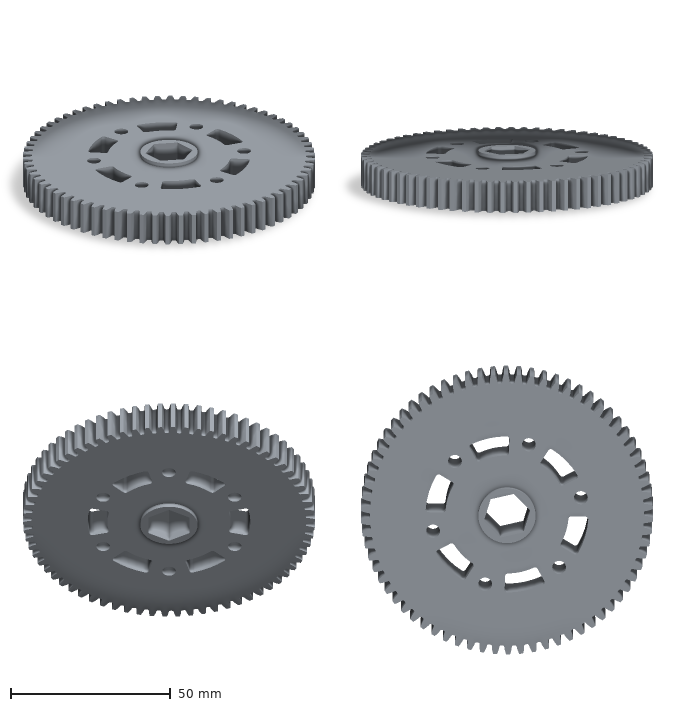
import cadquery as cq
import math

tooth_count = 70
outer_diameter = 91.4
face_width = 9.8
pressure_angle = math.radians(14.5)
root_fillet = 0.5
flank_steps = 4
first_tooth_angle = math.pi / 2

module = outer_diameter / (tooth_count + 2)
pitch_radius = module * tooth_count / 2
outer_radius = outer_diameter / 2
dedendum_factor = 1.25
root_radius = pitch_radius - dedendum_factor * module
base_radius = pitch_radius * math.cos(pressure_angle)
tooth_spacing = 2 * math.pi / tooth_count

hub_diameter = 17.9
hub_length = 12.6
bore_across_flats = 12.9

pattern_count = 6
bolt_circle_radius = 23.8
bolt_hole_diameter = 4.3
first_bolt_angle = 90
window_inner_radius = 19.3
window_outer_radius = 25.5
window_half_angle = math.radians(15)
window_corner_radius = 0.9


def polar(radius, angle):
    return (radius * math.cos(angle), radius * math.sin(angle))


def turned(point, angle):
    """Turn a point about the gear axis."""
    x, y = point
    return polar(math.hypot(x, y), angle + math.atan2(y, x))


def involute_angle(radius):
    """Angle unrolled by the involute between the base circle and a radius."""
    pressure = math.acos(base_radius / radius)
    return math.tan(pressure) - pressure


def tooth_half_angle(radius):
    """Half of the angle that one tooth fills at a radius on its involute flank."""
    at_pitch = math.pi / (2 * tooth_count)
    return at_pitch + involute_angle(pitch_radius) - involute_angle(radius)


def midpoint_on_arc(start, end, centre, radius):
    """Point of a minor arc halfway between its ends."""
    along_x = (start[0] + end[0]) / 2 - centre[0]
    along_y = (start[1] + end[1]) / 2 - centre[1]
    reach = radius / math.hypot(along_x, along_y)
    return (centre[0] + along_x * reach, centre[1] + along_y * reach)


def tooth_gap_points():
    """Points of the gap that follows a tooth on the X axis, from tip to tip."""
    centre_radius = root_radius + root_fillet
    centre_angle = tooth_half_angle(centre_radius) + root_fillet / base_radius
    fillet_centre = polar(centre_radius, centre_angle)

    centre_tangent = math.sqrt(centre_radius**2 - base_radius**2)
    flank_end_radius = math.hypot(base_radius, centre_tangent - root_fillet)

    half_gap = []
    for step in range(flank_steps + 1):
        radius = outer_radius + (flank_end_radius - outer_radius) * step / flank_steps
        half_gap.append(polar(radius, tooth_half_angle(radius)))

    flank_end = half_gap[-1]
    root_end = polar(root_radius, centre_angle)
    half_gap.append(midpoint_on_arc(flank_end, root_end, fillet_centre, root_fillet))
    half_gap.append(root_end)

    mirrored_half = [turned((x, -y), tooth_spacing) for x, y in reversed(half_gap)]
    return half_gap + mirrored_half


def make_gear_blank():
    """Toothed disc: each gap is one smooth curve, and round tips join the gaps."""
    gap = tooth_gap_points()
    tip_middle = (outer_radius, 0)

    outline = cq.Workplane("XY", origin=(0, 0, -face_width / 2))
    outline = outline.moveTo(*turned(gap[0], first_tooth_angle))
    for index in range(tooth_count):
        tooth = first_tooth_angle + index * tooth_spacing
        next_tooth = tooth + tooth_spacing
        outline = outline.spline([turned(point, tooth) for point in gap[1:]], includeCurrent=True)
        outline = outline.threePointArc(turned(tip_middle, next_tooth), turned(gap[0], next_tooth))
    return outline.close().extrude(face_width)


def make_hub():
    return cq.Workplane("XY").circle(hub_diameter / 2).extrude(hub_length / 2, both=True)


def make_bore():
    across_corners = bore_across_flats / math.cos(math.pi / 6)
    hexagon = cq.Workplane("XY").polygon(6, across_corners).extrude(hub_length / 2, both=True)
    return hexagon.rotate((0, 0, 0), (0, 0, 1), 90)


def make_bolt_holes():
    return (
        cq.Workplane("XY")
        .polarArray(bolt_circle_radius, first_bolt_angle, 360, pattern_count)
        .circle(bolt_hole_diameter / 2)
        .extrude(face_width / 2, both=True)
    )


def make_windows():
    """Rounded windows, the first one centred on the X axis."""
    window = (
        cq.Workplane("XY")
        .moveTo(*polar(window_inner_radius, -window_half_angle))
        .lineTo(*polar(window_outer_radius, -window_half_angle))
        .threePointArc((window_outer_radius, 0), polar(window_outer_radius, window_half_angle))
        .lineTo(*polar(window_inner_radius, window_half_angle))
        .threePointArc((window_inner_radius, 0), polar(window_inner_radius, -window_half_angle))
        .close()
        .extrude(face_width / 2, both=True)
        .edges("|Z")
        .fillet(window_corner_radius)
    )
    windows = cq.Workplane("XY")
    for index in range(pattern_count):
        windows = windows.add(window.rotate((0, 0, 0), (0, 0, 1), index * 360 / pattern_count))
    return windows.combine()


gear = make_gear_blank().union(make_hub())
gear = gear.cut(make_bore()).cut(make_bolt_holes()).cut(make_windows())
result = gear.solids()